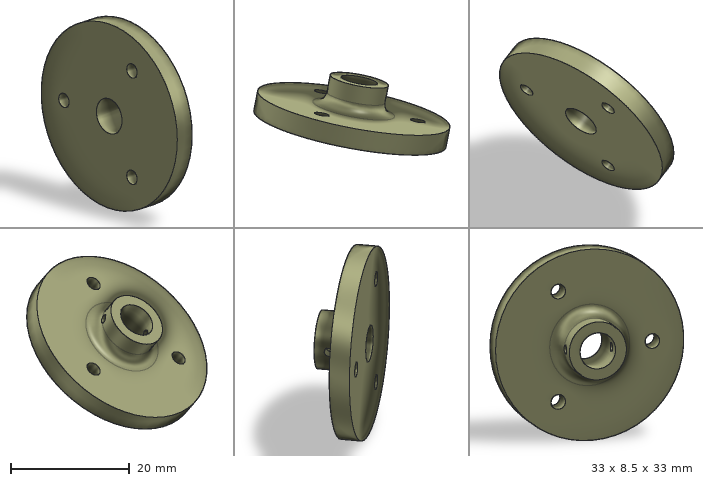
import cadquery as cq

flange_diameter = 33.0
flange_thickness = 3.5

hub_diameter = 10.0
hub_height = 5.0
hub_fillet_radius = 2.0
total_depth = flange_thickness + hub_height

bore_diameter = 6.2
bolt_hole_diameter = 2.5
bolt_circle_radius = 11.0
bolt_hole_count = 3
first_bolt_angle = 180.0
cross_hole_diameter = 1.5
cross_hole_setback = 2.5


def flanged_hub():
    """Revolve the half section of flange, root fillet and hub about Y."""
    hub_radius = hub_diameter / 2
    section = (
        cq.Workplane("XY")
        .lineTo(flange_diameter / 2, 0)
        .lineTo(flange_diameter / 2, flange_thickness)
        .lineTo(hub_radius + hub_fillet_radius, flange_thickness)
        .radiusArc((hub_radius, flange_thickness + hub_fillet_radius), hub_fillet_radius)
        .lineTo(hub_radius, total_depth)
        .lineTo(0, total_depth)
        .close()
    )
    return section.revolve(360, (0, 0, 0), (0, 1, 0))


def axial_holes():
    """Central bore and the evenly spaced bolt holes, running along +Y."""
    bore = cq.Workplane("XZ").circle(bore_diameter / 2).extrude(-total_depth)
    bolt_holes = (
        cq.Workplane("XZ")
        .polarArray(bolt_circle_radius, first_bolt_angle, 360, bolt_hole_count)
        .circle(bolt_hole_diameter / 2)
        .extrude(-flange_thickness)
    )
    return bore.union(bolt_holes)


def cross_hole():
    """Pin hole along X, through both walls of the hub."""
    return (
        cq.Workplane("YZ")
        .center(total_depth - cross_hole_setback, 0)
        .circle(cross_hole_diameter / 2)
        .extrude(flange_diameter / 2, both=True)
    )


result = flanged_hub().cut(axial_holes()).cut(cross_hole())